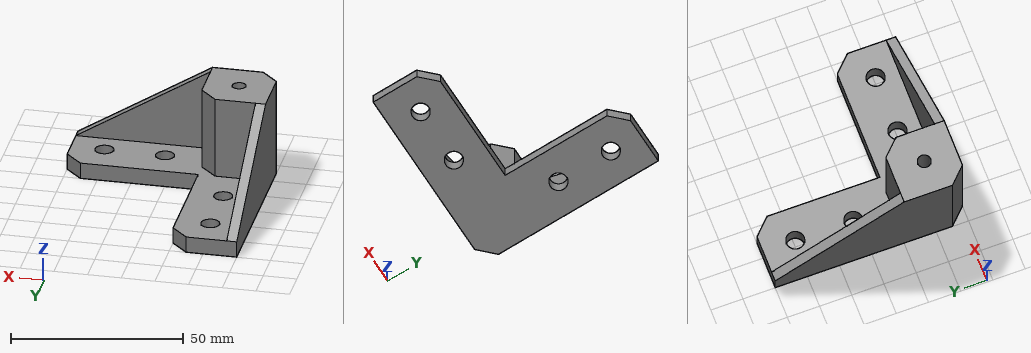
import cadquery as cq

length = 60.0
height = 30.0
arm_width = length / 3
base_height = height / 6
wall_thickness = 3.0
chamfer = length / 12
arm_hole_diameter = 5.5
arm_hole_spacing = 18.0
end_to_hole = arm_width / 2
post_hole_diameter = 4.0
post_hole_depth = 15.0


def plate_x():
    """Flat arm along X with its inner end corner cut off."""
    return (
        cq.Workplane("XY")
        .polyline([
            (0, 0),
            (length, 0),
            (length, arm_width - chamfer),
            (length - chamfer, arm_width),
            (0, arm_width),
        ])
        .close()
        .extrude(base_height)
    )


def wall_x():
    """Outer wall along X, sloping from the post top down to the arm end."""
    return (
        cq.Workplane("XZ")
        .polyline([
            (0, 0),
            (length, 0),
            (length, base_height),
            (arm_width, height),
            (0, height),
        ])
        .close()
        .extrude(-wall_thickness)
    )


def mirror_across_diagonal(shape):
    """Swap X and Y, turning the X arm into the Y arm."""
    return shape.mirror("YZ").rotate((0, 0, 0), (0, 0, 1), -90)


arm_x = plate_x().union(wall_x())
arm_y = mirror_across_diagonal(arm_x)

post = (
    cq.Workplane("XY")
    .rect(arm_width, arm_width, centered=False)
    .extrude(height)
    .edges("|Z and >X and >Y")
    .chamfer(chamfer)
)
result = arm_x.union(arm_y).union(post)

corner_cut = (
    cq.Workplane("XY")
    .polyline([(0, 0), (chamfer, 0), (0, chamfer)])
    .close()
    .extrude(height)
)
result = result.cut(corner_cut)

center_line = arm_width / 2
outer_hole = length - end_to_hole
for distance in (outer_hole - arm_hole_spacing, outer_hole):
    for x, y in ((distance, center_line), (center_line, distance)):
        hole = (
            cq.Workplane("XY")
            .center(x, y)
            .circle(arm_hole_diameter / 2)
            .extrude(base_height)
        )
        result = result.cut(hole)

post_hole = (
    cq.Workplane("XY", origin=(center_line, center_line, height))
    .circle(post_hole_diameter / 2)
    .extrude(-post_hole_depth)
)
result = result.cut(post_hole)